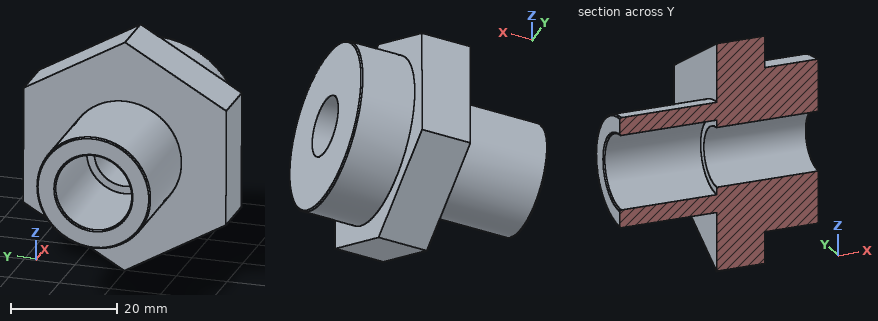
import cadquery as cq
import math

SPIGOT_LENGTH = 20.0
HEX_THICKNESS = 10.0
COLLAR_LENGTH = 11.0

SPIGOT_DIAMETER = 22.4
COLLAR_DIAMETER = 33.35
HEX_ACROSS_FLATS = 40.0
HEX_TWIST_DEGREES = 0.17
COUNTERBORE_DIAMETER = 15.0
BORE_DIAMETER = 12.0

COUNTERBORE_DEPTH = SPIGOT_LENGTH

EDGE_CHAMFER = 0.27

HEX_START = SPIGOT_LENGTH
COLLAR_START = HEX_START + HEX_THICKNESS
TOTAL_LENGTH = COLLAR_START + COLLAR_LENGTH


def cylinder(start, length, diameter):
    """Cylinder on the X axis, reaching from start toward +X."""
    return cq.Workplane("YZ", origin=(start, 0, 0)).circle(diameter / 2).extrude(length)


def spigot():
    """Round spigot with its free outer edge chamfered."""
    return cylinder(0, SPIGOT_LENGTH, SPIGOT_DIAMETER).faces("<X").chamfer(EDGE_CHAMFER)


def hex_flange():
    """Hexagon with corners up and down, turned very slightly about X."""
    across_corners = HEX_ACROSS_FLATS / math.cos(math.radians(30))
    corner_up = 90
    return (
        cq.Workplane("YZ", origin=(HEX_START, 0, 0))
        .polygon(6, across_corners)
        .extrude(HEX_THICKNESS)
        .rotate((0, 0, 0), (1, 0, 0), corner_up + HEX_TWIST_DEGREES)
    )


def collar():
    """Large round collar with its free outer edge chamfered."""
    return cylinder(COLLAR_START, COLLAR_LENGTH, COLLAR_DIAMETER).faces(">X").chamfer(EDGE_CHAMFER)


def stepped_bore():
    """Through bore, widened in the spigot, with a chamfered mouth."""
    mouth_radius = COUNTERBORE_DIAMETER / 2 + EDGE_CHAMFER
    counterbore_radius = COUNTERBORE_DIAMETER / 2
    bore_radius = BORE_DIAMETER / 2
    return (
        cq.Workplane("XY")
        .moveTo(0, 0)
        .lineTo(0, mouth_radius)
        .lineTo(EDGE_CHAMFER, counterbore_radius)
        .lineTo(COUNTERBORE_DEPTH, counterbore_radius)
        .lineTo(COUNTERBORE_DEPTH, bore_radius)
        .lineTo(TOTAL_LENGTH, bore_radius)
        .lineTo(TOTAL_LENGTH, 0)
        .close()
        .revolve(360, (0, 0, 0), (1, 0, 0))
    )


result = spigot().union(hex_flange()).union(collar()).cut(stepped_bore())